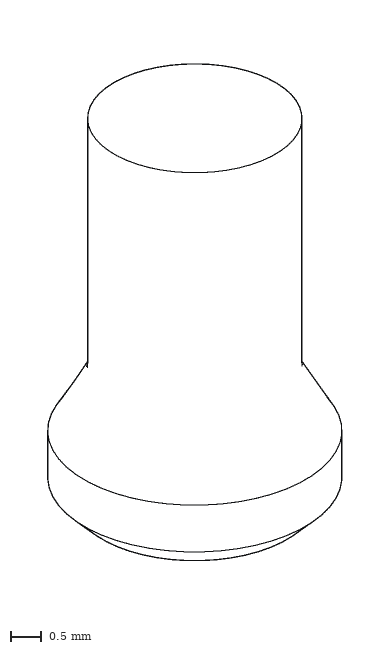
import cadquery as cq
import math

total_height = 7.2
head_radius = 4.8 / 2
shank_radius = 1.75
base_radius = 2.0
base_chamfer_height = 0.4
band_top = 1.29
cone_angle = math.radians(30)
neck_fillet_radius = 0.5

neck_height = band_top + (head_radius - shank_radius) / math.tan(cone_angle)

tangent_length = neck_fillet_radius * math.tan(cone_angle / 2)
fillet_bottom = (
    shank_radius + tangent_length * math.sin(cone_angle),
    neck_height - tangent_length * math.cos(cone_angle),
)
fillet_top = (shank_radius, neck_height + tangent_length)

half_angle = cone_angle / 2
fillet_middle = (
    shank_radius + neck_fillet_radius * (1 - math.cos(half_angle)),
    fillet_top[1] - neck_fillet_radius * math.sin(half_angle),
)

profile = (
    cq.Workplane("XZ")
    .moveTo(0, 0)
    .lineTo(base_radius, 0)
    .lineTo(head_radius, base_chamfer_height)
    .lineTo(head_radius, band_top)
    .lineTo(*fillet_bottom)
    .threePointArc(fillet_middle, fillet_top)
    .lineTo(shank_radius, total_height)
    .lineTo(0, total_height)
    .close()
)
result = profile.revolve(360, (0, 0, 0), (0, 1, 0))